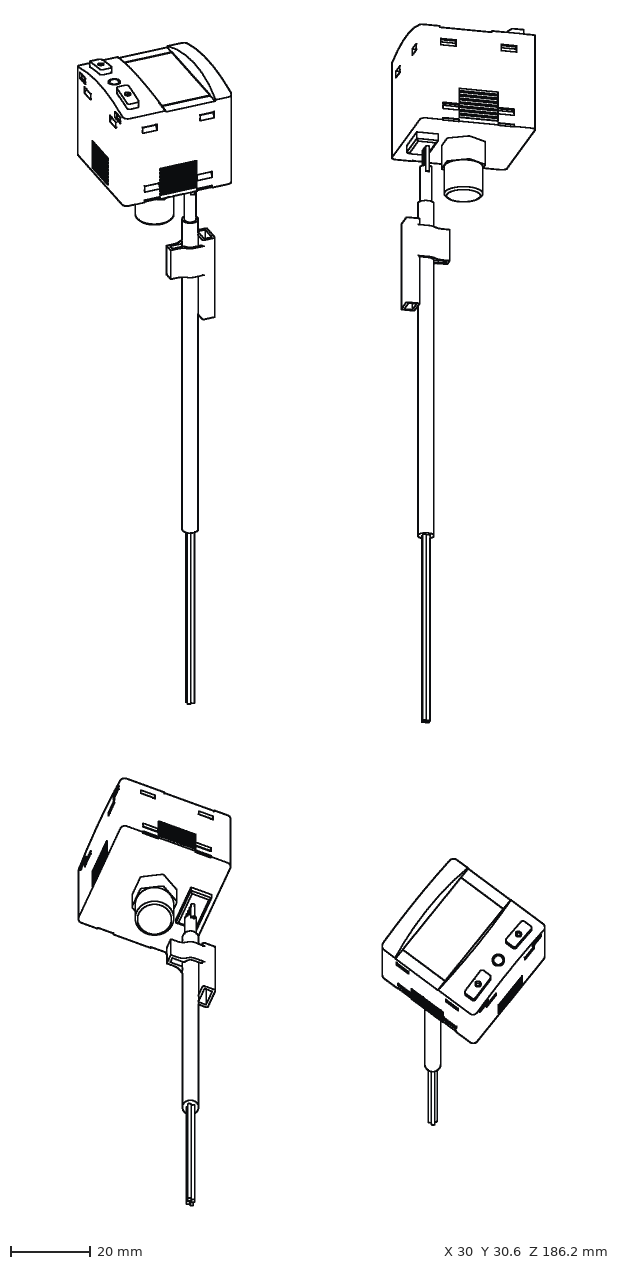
import cadquery as cq
import math


OVERALL_HEIGHT = 186.22
OVERALL_DEPTH = 30.6
CUT_CLEARANCE = 1.0

HOUSING_SIZE = 30.0
HALF_SIZE = HOUSING_SIZE / 2
CORNER_RADIUS = 1.3
SIDE_HEIGHT = 25.3
CROWN_HEIGHT = 27.65
CROWN_RISE = CROWN_HEIGHT - SIDE_HEIGHT
CROWN_RADIUS = (HALF_SIZE**2 + CROWN_RISE**2) / (2 * CROWN_RISE)
CROWN_CENTRE_Z = CROWN_HEIGHT - CROWN_RADIUS

BAND_FLOOR_Z = 24.95
DISPLAY_Z = 25.15
DISPLAY_WIDTH = 24.0
BAND_FRONT_Y = -3.4
BAND_BACK_Y = 10.1
BAND_WALL_LEAN = 1.1

BUTTON_X = 8.4
CONTROL_Y = -11.1
BUTTON_LENGTH = 7.3
BUTTON_WIDTH = 3.2
BUTTON_TOP_Z = 28.9
BUTTON_CORNER_RADIUS = 0.6
BUTTON_INNER_X = BUTTON_X - BUTTON_LENGTH / 2
BUTTON_ARCH_RADIUS = math.hypot(BUTTON_INNER_X, BUTTON_TOP_Z - CROWN_CENTRE_Z)
DIMPLE_DIAMETER = 1.6
DIMPLE_BOTTOM_DIAMETER = 0.8
DIMPLE_DEPTH = 0.3
LAMP_DIAMETER = 2.46
LAMP_RECESS_DIAMETER = 3.0
LAMP_GROOVE_DEPTH = 0.5

SNAP_OFFSET = 7.9
SNAP_WIDTH = 3.95
SNAP_TOP_Z = 21.9
SNAP_RAMP_TOP_Z = 21.3
SNAP_BOTTOM_Z = 20.2
SNAP_DEPTH = 0.8
POCKET_X = 10.9
POCKET_WIDTH = 3.4
POCKET_BOTTOM_Z = 23.0
POCKET_HEIGHT = 1.7
POCKET_BACK_HEIGHT = 1.1
POCKET_DEPTH = 0.5
LOW_SNAP_OFFSET = 7.2
LOW_SNAP_WIDTH = 4.2
LOW_SNAP_TOP_Z = 4.7
LOW_SNAP_RAMP_TOP_Z = 4.2
LOW_SNAP_BOTTOM_Z = 3.0
LEDGE_HEIGHT = 0.55
LEDGE_DEPTH = 0.3

GRILLE_BOTTOM_Z = 1.1
GRILLE_HEIGHT = 8.2
LOUVRE_COUNT = 8
LOUVRE_PITCH = GRILLE_HEIGHT / LOUVRE_COUNT
LOUVRE_CUT_HEIGHT = 0.6
LOUVRE_DEPTH = 0.4
FRONT_GRILLE_WIDTH = 9.6
SIDE_GRILLE_WIDTH = 10.1

HEX_ACROSS_FLATS = 10.0
HEX_LENGTH = 6.2
HEX_EDGE_RADIUS = 0.6
PORT_DIAMETER = 9.73
PORT_END_DIAMETER = 8.57
PORT_LENGTH = 14.05
PORT_CHAMFER = (PORT_DIAMETER - PORT_END_DIAMETER) / 2

CABLE_Y = 9.82
PLUG_FRONT_Y = 7.9
PLUG_BACK_Y = 13.5
PLUG_WIDTH = 10.0
PLUG_HEIGHT = 2.25
PLUG_CHAMFER = 0.5
CORE_DIAMETER = 0.95
CORE_PITCH = 1.0
CORE_COUNT = 4
CORE_ROW_BOTTOM_Z = -9.0
SHEATH_DIAMETER = 3.0
SHEATH_TOP_Z = -7.3
JACKET_DIAMETER = 4.1
JACKET_TOP_Z = -17.1
JACKET_LENGTH = 90.0
JACKET_BOTTOM_Z = JACKET_TOP_Z - JACKET_LENGTH
CABLE_BOTTOM_Z = BUTTON_TOP_Z - OVERALL_HEIGHT

CLIP_DIAMETER = 5.5
CLIP_RADIUS = CLIP_DIAMETER / 2
CLIP_BACK_Y = OVERALL_DEPTH - HALF_SIZE
CLIP_TOP_Z = -22.4
CLIP_BOTTOM_Z = -45.4
SLEEVE_FRONT_Y = 12.1
SLEEVE_CORNER_RADIUS = 0.45
CLIP_WALL = (CLIP_DIAMETER - JACKET_DIAMETER) / 2
RING_TOP_Z = -24.1
RING_BOTTOM_Z = -32.5
LUG_HALF_WIDTH = 1.35
LUG_TIP_Y = 3.9
LUG_LENGTH = 4.0

SIDE_ANGLES = {"front": 0, "right": 90, "back": 180, "left": 270}


def arched_block(radius):
    """Full-plan block under an arch of the given radius, running along Y."""
    edge_z = CROWN_CENTRE_Z + math.sqrt(radius**2 - HALF_SIZE**2)
    return (
        cq.Workplane("XZ", origin=(0, HALF_SIZE, 0))
        .moveTo(-HALF_SIZE, 0)
        .lineTo(-HALF_SIZE, edge_z)
        .threePointArc((0, CROWN_CENTRE_Z + radius), (HALF_SIZE, edge_z))
        .lineTo(HALF_SIZE, 0)
        .close()
        .extrude(HOUSING_SIZE)
    )


def wall_cut(angle, offset, width, profile):
    """Cutter for one wall: profile of (outward, z) points about the wall plane.

    It is laid out on the -Y wall, centred at X = offset, and turned about Z to the wall wanted.
    """
    points = [(-HALF_SIZE - outward, z) for outward, z in profile]
    cutter = (
        cq.Workplane("YZ", origin=(offset - width / 2, 0, 0))
        .polyline(points)
        .close()
        .extrude(width)
    )
    return cutter.rotate((0, 0, 0), (0, 0, 1), angle)


def ramp_profile(top_z, ramp_top_z, bottom_z):
    """Slot with a level ceiling and a floor that ramps up toward its back."""
    return [(0, top_z), (-SNAP_DEPTH, top_z), (-SNAP_DEPTH, ramp_top_z), (0, bottom_z)]


def recess_profile(bottom_z, height, back_height, depth):
    """Recess with a level floor; its ceiling goes from height at the mouth to back_height."""
    return [
        (0, bottom_z),
        (-depth, bottom_z),
        (-depth, bottom_z + back_height),
        (0, bottom_z + height),
    ]


def cut_display_band(body):
    lean_slope = BAND_WALL_LEAN / (CROWN_HEIGHT - BAND_FLOOR_Z)
    cut_top_z = CROWN_HEIGHT + CUT_CLEARANCE
    lean = lean_slope * (cut_top_z - BAND_FLOOR_Z)
    band = (
        cq.Workplane("YZ", origin=(-HALF_SIZE, 0, 0))
        .moveTo(BAND_FRONT_Y, BAND_FLOOR_Z)
        .lineTo(BAND_BACK_Y, BAND_FLOOR_Z)
        .lineTo(BAND_BACK_Y + lean, cut_top_z)
        .lineTo(BAND_FRONT_Y - lean, cut_top_z)
        .close()
        .extrude(HOUSING_SIZE)
    )
    display = cq.Workplane("XY").box(
        DISPLAY_WIDTH, BAND_BACK_Y - BAND_FRONT_Y, DISPLAY_Z, centered=(True, False, False)
    ).translate((0, BAND_FRONT_Y, 0))
    return body.cut(band).union(display)


def button(x):
    blank = (
        cq.Workplane("XY", origin=(x, CONTROL_Y, SIDE_HEIGHT / 2))
        .rect(BUTTON_LENGTH, BUTTON_WIDTH)
        .extrude(SIDE_HEIGHT)
        .edges("|Z")
        .fillet(BUTTON_CORNER_RADIUS)
    )
    shaped = blank.intersect(arched_block(BUTTON_ARCH_RADIUS))
    top_z = CROWN_CENTRE_Z + math.sqrt(BUTTON_ARCH_RADIUS**2 - x**2)
    dimple = (
        cq.Workplane("XY", origin=(x, CONTROL_Y, top_z - DIMPLE_DEPTH))
        .circle(DIMPLE_BOTTOM_DIAMETER / 2)
        .workplane(offset=DIMPLE_DEPTH)
        .circle(DIMPLE_DIAMETER / 2)
        .loft()
    )
    mouth = (
        cq.Workplane("XY", origin=(x, CONTROL_Y, top_z))
        .circle(DIMPLE_DIAMETER / 2)
        .extrude(CUT_CLEARANCE)
    )
    return shaped.cut(mouth).cut(dimple)


def lamp_groove():
    return (
        cq.Workplane("XY", origin=(0, CONTROL_Y, CROWN_HEIGHT - LAMP_GROOVE_DEPTH))
        .circle(LAMP_RECESS_DIAMETER / 2)
        .circle(LAMP_DIAMETER / 2)
        .extrude(LAMP_GROOVE_DEPTH + CUT_CLEARANCE)
    )


def louvres(angle, width):
    """Cutters for one grille: level floors under ceilings that slope out to the wall."""
    cutters = []
    for row in range(LOUVRE_COUNT):
        z = GRILLE_BOTTOM_Z + row * LOUVRE_PITCH
        profile = [(0, z), (-LOUVRE_DEPTH, z), (0, z + LOUVRE_CUT_HEIGHT)]
        cutters.append(wall_cut(angle, 0, width, profile))
    return cutters


def make_housing():
    body = arched_block(CROWN_RADIUS).edges("|Z").fillet(CORNER_RADIUS)
    body = cut_display_band(body)
    for side in (-1, 1):
        body = body.union(button(side * BUTTON_X))
    body = body.cut(lamp_groove())

    snap = ramp_profile(SNAP_TOP_Z, SNAP_RAMP_TOP_Z, SNAP_BOTTOM_Z)
    low_snap = ramp_profile(LOW_SNAP_TOP_Z, LOW_SNAP_RAMP_TOP_Z, LOW_SNAP_BOTTOM_Z)
    pocket = recess_profile(POCKET_BOTTOM_Z, POCKET_HEIGHT, POCKET_BACK_HEIGHT, POCKET_DEPTH)
    ledge = recess_profile(0, LEDGE_HEIGHT, LEDGE_HEIGHT, LEDGE_DEPTH)
    for side in (-1, 1):
        for angle in SIDE_ANGLES.values():
            body = body.cut(wall_cut(angle, side * SNAP_OFFSET, SNAP_WIDTH, snap))
        body = body.cut(wall_cut(SIDE_ANGLES["front"], side * POCKET_X, POCKET_WIDTH, pocket))
        for name in ("left", "right"):
            angle = SIDE_ANGLES[name]
            body = body.cut(wall_cut(angle, side * LOW_SNAP_OFFSET, LOW_SNAP_WIDTH, low_snap))
            body = body.cut(wall_cut(angle, side * LOW_SNAP_OFFSET, LOW_SNAP_WIDTH, ledge))

    grilles = {"front": FRONT_GRILLE_WIDTH, "left": SIDE_GRILLE_WIDTH, "right": SIDE_GRILLE_WIDTH}
    for name, width in grilles.items():
        for cutter in louvres(SIDE_ANGLES[name], width):
            body = body.cut(cutter)
    return body


def make_port():
    hexagon = (
        cq.Workplane("XY")
        .polygon(6, HEX_ACROSS_FLATS / math.cos(math.pi / 6))
        .extrude(-HEX_LENGTH)
        .edges("|Z")
        .fillet(HEX_EDGE_RADIUS)
    )
    spigot = (
        cq.Workplane("XY")
        .circle(PORT_DIAMETER / 2)
        .extrude(-PORT_LENGTH)
        .faces("<Z")
        .chamfer(PORT_CHAMFER)
    )
    return hexagon.union(spigot)


def rod(x, y, diameter, top_z, bottom_z):
    return cq.Workplane("XY", origin=(x, y, bottom_z)).circle(diameter / 2).extrude(top_z - bottom_z)


def make_cable():
    plug = (
        cq.Workplane("XY")
        .box(PLUG_WIDTH, PLUG_BACK_Y - PLUG_FRONT_Y, PLUG_HEIGHT, centered=(True, False, False))
        .translate((0, PLUG_FRONT_Y, -PLUG_HEIGHT))
        .faces("<Z")
        .chamfer(PLUG_CHAMFER)
    )
    sheath = rod(0, CABLE_Y, SHEATH_DIAMETER, SHEATH_TOP_Z, JACKET_TOP_Z)
    jacket = rod(0, CABLE_Y, JACKET_DIAMETER, JACKET_TOP_Z, JACKET_BOTTOM_Z)
    cable = jacket.union(sheath)

    for index in range(CORE_COUNT):
        x = (index - (CORE_COUNT - 1) / 2) * CORE_PITCH
        cable = cable.union(rod(x, CABLE_Y, CORE_DIAMETER, -PLUG_HEIGHT, CORE_ROW_BOTTOM_Z))

    for side_x in (-1, 1):
        for side_y in (-1, 1):
            x = side_x * CORE_PITCH / 2
            y = CABLE_Y + side_y * CORE_PITCH / 2
            cable = cable.union(rod(x, y, CORE_DIAMETER, JACKET_BOTTOM_Z, CABLE_BOTTOM_Z))
    return cable.union(plug)


def make_clip():
    """Rectangular sleeve with a strap that loops round the cable and closes in a narrow lug."""
    sleeve_depth = CLIP_BACK_Y - SLEEVE_FRONT_Y
    sleeve_height = CLIP_TOP_Z - CLIP_BOTTOM_Z
    sleeve_plane = cq.Workplane("XY", origin=(0, SLEEVE_FRONT_Y + sleeve_depth / 2, CLIP_BOTTOM_Z))
    sleeve_bore = sleeve_plane.rect(JACKET_DIAMETER, sleeve_depth - 2 * CLIP_WALL).extrude(sleeve_height)
    sleeve = (
        sleeve_plane.rect(CLIP_DIAMETER, sleeve_depth)
        .extrude(sleeve_height)
        .edges("|Z")
        .fillet(SLEEVE_CORNER_RADIUS)
        .cut(sleeve_bore)
    )

    width_gap = CLIP_RADIUS - LUG_HALF_WIDTH
    fillet_radius = (LUG_LENGTH**2 / width_gap - CLIP_RADIUS - LUG_HALF_WIDTH) / 2
    fillet_x = LUG_HALF_WIDTH + fillet_radius
    fillet_y = CABLE_Y - LUG_LENGTH
    reach = CLIP_RADIUS / (CLIP_RADIUS + fillet_radius)
    tangent_x = fillet_x * reach
    tangent_y = CABLE_Y - LUG_LENGTH * reach
    ring_angle = math.atan2(LUG_LENGTH, fillet_x)
    ring_mid_x = CLIP_RADIUS * math.cos(ring_angle / 2)
    ring_mid_y = CABLE_Y - CLIP_RADIUS * math.sin(ring_angle / 2)
    fillet_mid_x = fillet_x - fillet_radius * math.cos(ring_angle / 2)
    fillet_mid_y = fillet_y + fillet_radius * math.sin(ring_angle / 2)

    strap_height = RING_TOP_Z - RING_BOTTOM_Z
    strap_back_y = SLEEVE_FRONT_Y + SLEEVE_CORNER_RADIUS
    strap = (
        cq.Workplane("XY", origin=(0, 0, RING_BOTTOM_Z))
        .moveTo(-CLIP_RADIUS, strap_back_y)
        .lineTo(-CLIP_RADIUS, CABLE_Y)
        .threePointArc((-ring_mid_x, ring_mid_y), (-tangent_x, tangent_y))
        .threePointArc((-fillet_mid_x, fillet_mid_y), (-LUG_HALF_WIDTH, fillet_y))
        .lineTo(-LUG_HALF_WIDTH, LUG_TIP_Y)
        .lineTo(LUG_HALF_WIDTH, LUG_TIP_Y)
        .lineTo(LUG_HALF_WIDTH, fillet_y)
        .threePointArc((fillet_mid_x, fillet_mid_y), (tangent_x, tangent_y))
        .threePointArc((ring_mid_x, ring_mid_y), (CLIP_RADIUS, CABLE_Y))
        .lineTo(CLIP_RADIUS, strap_back_y)
        .close()
        .extrude(strap_height)
    )

    lug_bottom_y = LUG_TIP_Y + CLIP_WALL
    lug_slot = (
        cq.Workplane("XY", origin=(0, lug_bottom_y, RING_BOTTOM_Z))
        .box(2 * (LUG_HALF_WIDTH - CLIP_WALL), CABLE_Y - lug_bottom_y, strap_height,
             centered=(True, False, False))
    )
    throat = (
        cq.Workplane("XY", origin=(0, CABLE_Y, RING_BOTTOM_Z))
        .box(JACKET_DIAMETER, strap_back_y - CABLE_Y, strap_height, centered=(True, False, False))
    )
    passage = rod(0, CABLE_Y, JACKET_DIAMETER, RING_TOP_Z, RING_BOTTOM_Z)
    strap = strap.cut(lug_slot).cut(throat).cut(passage)
    return sleeve.union(strap)


housing = make_housing()
port = make_port()
cable = make_cable()
clip = make_clip()

result = cq.Compound.makeCompound([housing.val(), port.val(), cable.val(), clip.val()])